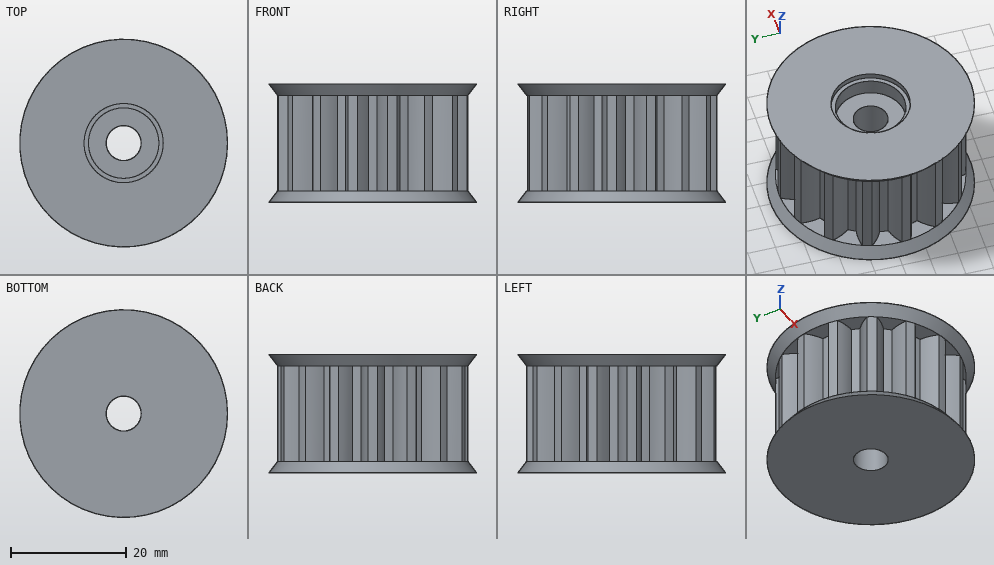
import cadquery as cq
import math

outer_diameter = 36.0
height = 20.5

flange_height = 1.98
tip_radius = 16.5

tooth_count = 15
root_radius = 13.32
tip_half_angle = 2.9
root_half_angle = 3.2
flank_bulge = 0.18
pitch_angle = 360 / tooth_count
first_gap_angle = -90.0

bore_diameter = 6.0
seat_diameter = 12.2
seat_depth = 3.0
rim_diameter = 13.7
rim_depth = 1.0


def polar(radius, angle):
    """Point at a radius and an angle in degrees."""
    return (radius * math.cos(math.radians(angle)), radius * math.sin(math.radians(angle)))


def flank_middle(start, end):
    """Middle point of a flank, moved off the chord to the left of its direction."""
    dx = end[0] - start[0]
    dy = end[1] - start[1]
    length = math.hypot(dx, dy)
    mid_x = (start[0] + end[0]) / 2 - flank_bulge * dy / length
    mid_y = (start[1] + end[1]) / 2 + flank_bulge * dx / length
    return (mid_x, mid_y)


def toothed_section():
    """Prism with convex-flanked teeth between the two flanges."""
    gap_half_angle = pitch_angle / 2 - tip_half_angle
    outline = cq.Workplane("XY").workplane(offset=flange_height)
    outline = outline.moveTo(*polar(tip_radius, first_gap_angle - gap_half_angle))
    for index in range(tooth_count):
        gap = first_gap_angle + index * pitch_angle
        tip_before = polar(tip_radius, gap - gap_half_angle)
        root_start = polar(root_radius, gap - root_half_angle)
        root_end = polar(root_radius, gap + root_half_angle)
        tip_after = polar(tip_radius, gap + gap_half_angle)
        land_middle = polar(tip_radius, gap + pitch_angle / 2)
        land_end = polar(tip_radius, gap + pitch_angle - gap_half_angle)
        outline = outline.threePointArc(flank_middle(root_start, tip_before), root_start)
        outline = outline.threePointArc(polar(root_radius, gap), root_end)
        outline = outline.threePointArc(flank_middle(tip_after, root_end), tip_after)
        outline = outline.threePointArc(land_middle, land_end)
    return outline.close().extrude(height - 2 * flange_height)


def flange():
    """Bottom flange: wide on its outer face, as wide as the teeth on its inner face."""
    profile = [
        (0, 0),
        (outer_diameter / 2, 0),
        (tip_radius, flange_height),
        (0, flange_height),
    ]
    return cq.Workplane("XZ").polyline(profile).close().revolve(360, (0, 0), (0, 1))


def top_recess(diameter, depth):
    """Round pocket sunk from the top face."""
    return cq.Workplane("XY").workplane(offset=height - depth).circle(diameter / 2).extrude(depth)


bottom_flange = flange()
top_flange = bottom_flange.mirror("XY").translate((0, 0, height))
body = toothed_section().union(bottom_flange).union(top_flange)

body = body.cut(top_recess(rim_diameter, rim_depth))
body = body.cut(top_recess(seat_diameter, rim_depth + seat_depth))
result = body.cut(top_recess(bore_diameter, height))